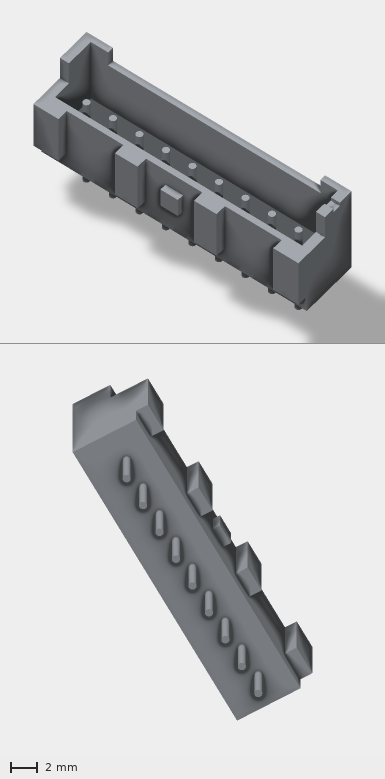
import cadquery as cq

length = 25.0
depth = 6.4
total_height = 12.2
pin_tail = 3.42
height = total_height - pin_tail

end_wall = 0.85
back_wall = 0.58
front_wall = 0.52
floor_thickness = 2.25
rib_depth = 1.0
back_y = depth / 2
rib_face_y = -depth / 2
front_y = rib_face_y + rib_depth

front_rim_z = height - 2.32
back_rim_z = height - 1.5
back_opening_length = 20.0

notch_width = 0.78
notch_center_y = 1.4
notch_depth = 0.38

rib_bottom_z = 1.65
end_rib_width = 2.38
inner_rib_width = 2.12
inner_rib_offset = 3.72
latch_width = 1.65
latch_depth = 0.6
latch_height = 1.85
latch_bottom_z = 2.95

pin_count = 9
pin_pitch = 2.5
pin_diameter = 0.6
pin_top_z = 5.5


def block(x_range, y_range, z_range):
    """Axis-aligned box between the given limits."""
    sizes = [high - low for low, high in (x_range, y_range, z_range)]
    corner = (x_range[0], y_range[0], z_range[0])
    return cq.Workplane("XY").box(*sizes, centered=False).translate(corner)


def centered_range(center, width):
    return (center - width / 2, center + width / 2)


def make_shell():
    """Open-topped box with lowered front and back rims."""
    full_x = centered_range(0, length)
    cavity_x = centered_range(0, length - 2 * end_wall)
    opening_x = centered_range(0, back_opening_length)
    cavity_y = (front_y + front_wall, back_y - back_wall)
    shell = block(full_x, (front_y, back_y), (0, height))
    shell = shell.cut(block(cavity_x, cavity_y, (floor_thickness, height)))
    shell = shell.cut(block(full_x, (front_y, 0), (front_rim_z, height)))
    return shell.cut(block(opening_x, (0, back_y), (back_rim_z, height)))


def make_notch():
    return block(
        (length / 2 - end_wall, length / 2),
        centered_range(notch_center_y, notch_width),
        (height - notch_depth, height),
    )


def make_rib(center_x, width):
    return block(centered_range(center_x, width), (rib_face_y, front_y), (rib_bottom_z, front_rim_z))


def make_latch():
    return block(
        centered_range(0, latch_width),
        (front_y - latch_depth, front_y),
        (latch_bottom_z, latch_bottom_z + latch_height),
    )


def make_pin(x):
    pin_length = pin_top_z + pin_tail
    return cq.Workplane("XY", origin=(x, 0, -pin_tail)).circle(pin_diameter / 2).extrude(pin_length)


result = make_shell().cut(make_notch()).union(make_latch())
for side in (-1, 1):
    result = result.union(make_rib(side * (length - end_rib_width) / 2, end_rib_width))
    result = result.union(make_rib(side * inner_rib_offset, inner_rib_width))
for index in range(pin_count):
    result = result.union(make_pin((index - (pin_count - 1) / 2) * pin_pitch))